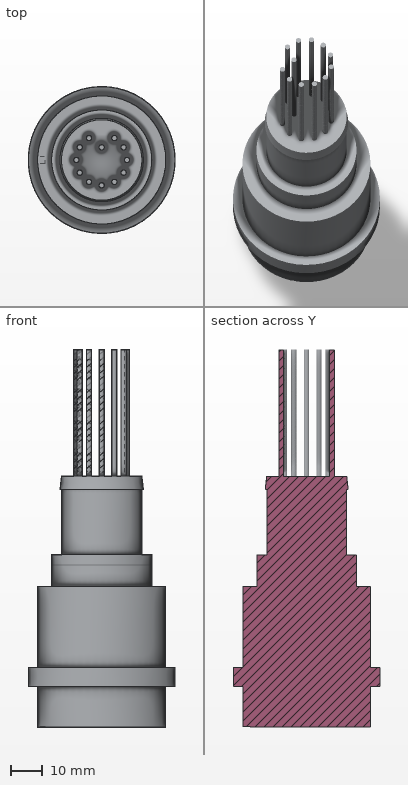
import cadquery as cq
import math

BODY_DIAMETER = 40.5
FLANGE_DIAMETER = 46.5
SHOULDER_DIAMETER = 31.6
NECK_DIAMETER = 25.4
COLLAR_DIAMETER = 26.4
FLANGE_BOTTOM = 12.9
FLANGE_TOP = 19.0
BODY_TOP = 44.5
SHOULDER_JOINT = 51.3
SHOULDER_TOP = 54.6
COLLAR_BOTTOM = 75.1
COLLAR_TOP = 79.4

NOTCH_DIAMETER = 4.8
NOTCH_HEIGHT = 0.2
NOTCH_LENGTH = 2.4
CUT_MARGIN = 1.2

TOTAL_HEIGHT = 119.4
WIRE_LENGTH = TOTAL_HEIGHT - COLLAR_TOP
WIRE_DIAMETER = 1.7
WIRE_CIRCLE_RADIUS = 8.0
INNER_WIRE_RADIUS = WIRE_CIRCLE_RADIUS / 2
WIRE_COUNT = 12
FIRST_WIRE_ANGLE = 90
STRIPED_WIRES = range(1, 7)
STRIPE_TURNS = 10


def disc(diameter, bottom, top):
    """Upright cylinder on the Z axis between two heights."""
    return cq.Workplane("XY").workplane(offset=bottom).circle(diameter / 2).extrude(top - bottom)


def tapered_collar():
    """Collar that narrows from its own diameter to the neck diameter at the top."""
    return (
        cq.Workplane("XY")
        .workplane(offset=COLLAR_BOTTOM)
        .circle(COLLAR_DIAMETER / 2)
        .workplane(offset=COLLAR_TOP - COLLAR_BOTTOM)
        .circle(NECK_DIAMETER / 2)
        .loft()
    )


def rim_notch():
    """Cutter for a shallow round-topped notch in the bottom rim, on the -X side."""
    axis_height = NOTCH_HEIGHT - NOTCH_DIAMETER / 2
    return (
        cq.Workplane("YZ")
        .workplane(offset=-BODY_DIAMETER / 2 - CUT_MARGIN)
        .center(0, axis_height)
        .circle(NOTCH_DIAMETER / 2)
        .extrude(NOTCH_LENGTH + CUT_MARGIN)
    )


def housing():
    """Flanged body, shoulder, neck and collar; the joint line around the shoulder is kept."""
    return (
        disc(BODY_DIAMETER, 0, BODY_TOP)
        .union(disc(FLANGE_DIAMETER, FLANGE_BOTTOM, FLANGE_TOP))
        .union(disc(SHOULDER_DIAMETER, BODY_TOP, SHOULDER_JOINT))
        .union(disc(SHOULDER_DIAMETER, SHOULDER_JOINT, SHOULDER_TOP), clean=False)
        .union(disc(NECK_DIAMETER, SHOULDER_TOP, COLLAR_BOTTOM), clean=False)
        .union(tapered_collar(), clean=False)
        .cut(rim_notch(), clean=False)
    )


def wire_position(index):
    """Foot of a wire: evenly spaced on a circle from +Y, with wire 0 moved inwards."""
    angle = math.radians(FIRST_WIRE_ANGLE + index * 360 / WIRE_COUNT)
    radius = INNER_WIRE_RADIUS if index == 0 else WIRE_CIRCLE_RADIUS
    return radius * math.cos(angle), radius * math.sin(angle), COLLAR_TOP


def twisted_strand(side):
    """Half-round strand twisted about the wire axis; side is 1 or -1."""
    reach = side * WIRE_DIAMETER / 2
    return (
        cq.Workplane("XY")
        .moveTo(reach, 0)
        .threePointArc((0, reach), (-reach, 0))
        .close()
        .twistExtrude(WIRE_LENGTH, STRIPE_TURNS * 360)
    )


plain_wire = disc(WIRE_DIAMETER, 0, WIRE_LENGTH)
striped_wire = twisted_strand(1).union(twisted_strand(-1))

result = housing()
for wire_index in range(WIRE_COUNT):
    wire = striped_wire if wire_index in STRIPED_WIRES else plain_wire
    result = result.union(wire.translate(wire_position(wire_index)), clean=False)